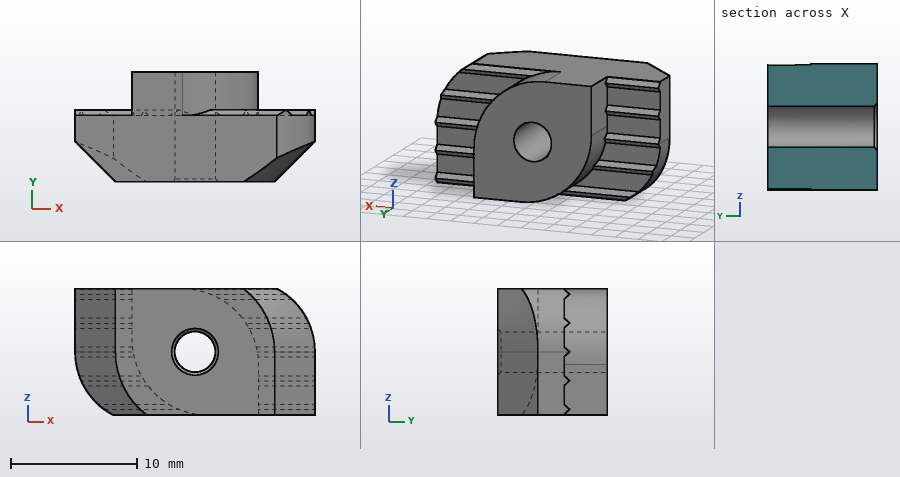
import cadquery as cq
import math

length = 19.0
height = 10.0
total_depth = 8.7
boss_depth = 3.0
end_radius = 5.65
bevel = 3.2
tooth_height = 0.435
tooth_half_width = 0.4
tooth_pitch = 2.28
tooth_count = 5
boss_width = 10.0
boss_radius = 6.0
hole_diameter = 3.2
hole_chamfer = 0.25

half_length = length / 2
half_height = height / 2
tooth_tip_y = total_depth - boss_depth
body_back_y = tooth_tip_y - tooth_height


def make_two_rounded_block(half_width, radius, arc_start_z, front_y, back_y):
    """Block whose upper right and lower left corners are round.

    The upper right arc is tangent to the end face at height arc_start_z and runs until
    it meets the top face. The lower left arc is the same, turned half a turn about Y.
    """
    center_x = half_width - radius

    def arc_point(angle):
        return center_x + radius * math.cos(angle), arc_start_z + radius * math.sin(angle)

    arc_sweep = math.asin((half_height - arc_start_z) / radius)
    mid_x, mid_z = arc_point(arc_sweep / 2)
    end_x, end_z = arc_point(arc_sweep)
    return (
        cq.Workplane("XZ", origin=(0, front_y, 0))
        .moveTo(half_width, -half_height)
        .lineTo(half_width, arc_start_z)
        .threePointArc((mid_x, mid_z), (end_x, end_z))
        .lineTo(-half_width, half_height)
        .lineTo(-half_width, -arc_start_z)
        .threePointArc((-mid_x, -mid_z), (-end_x, -end_z))
        .close()
        .extrude(front_y - back_y)
    )


def make_tooth(center_z):
    """Triangular ridge along X whose flanks continue into the body by one tooth height."""
    root_y = body_back_y - tooth_height
    root_half_width = 2 * tooth_half_width
    return (
        cq.Workplane("YZ")
        .moveTo(root_y, center_z - root_half_width)
        .lineTo(tooth_tip_y, center_z)
        .lineTo(root_y, center_z + root_half_width)
        .close()
        .extrude(half_length, both=True)
    )


def make_toothed_slab():
    """Rectangular slab with evenly spaced ridges across its back."""
    slab = cq.Workplane("XY").box(length, body_back_y, height).translate((0, body_back_y / 2, 0))
    first_tooth_z = -tooth_pitch * (tooth_count - 1) / 2
    for index in range(tooth_count):
        slab = slab.union(make_tooth(first_tooth_z + index * tooth_pitch))
    return slab


def sketch_bevel_section():
    """Half section in the XY plane, from the Y axis out to the beveled +X end."""
    return (
        cq.Workplane("XY")
        .lineTo(half_length - bevel, 0)
        .lineTo(half_length, bevel)
        .lineTo(half_length, total_depth)
        .lineTo(0, total_depth)
        .close()
    )


def make_bevel_envelope():
    """Space behind the 45 degree bevel: conical around the Y axis, flat at the square corners."""
    cone = sketch_bevel_section().revolve(360, (0, 0), (0, 1))
    lower_right = sketch_bevel_section().extrude(-half_height)
    upper_left = lower_right.rotate((0, 0, 0), (0, 1, 0), 180)
    return cone.union(lower_right).union(upper_left)


def make_hole():
    """Through hole along Y with a chamfered front mouth."""
    radius = hole_diameter / 2
    return (
        cq.Workplane("XY")
        .lineTo(radius + hole_chamfer, 0)
        .lineTo(radius, hole_chamfer)
        .lineTo(radius, total_depth)
        .lineTo(0, total_depth)
        .close()
        .revolve(360, (0, 0), (0, 1))
    )


plate = make_two_rounded_block(half_length, end_radius, 0, 0, tooth_tip_y)
body = plate.intersect(make_toothed_slab()).intersect(make_bevel_envelope())

boss_arc_start_z = half_height - boss_radius
boss = make_two_rounded_block(boss_width / 2, boss_radius, boss_arc_start_z, bevel, total_depth)

result = body.union(boss).cut(make_hole())